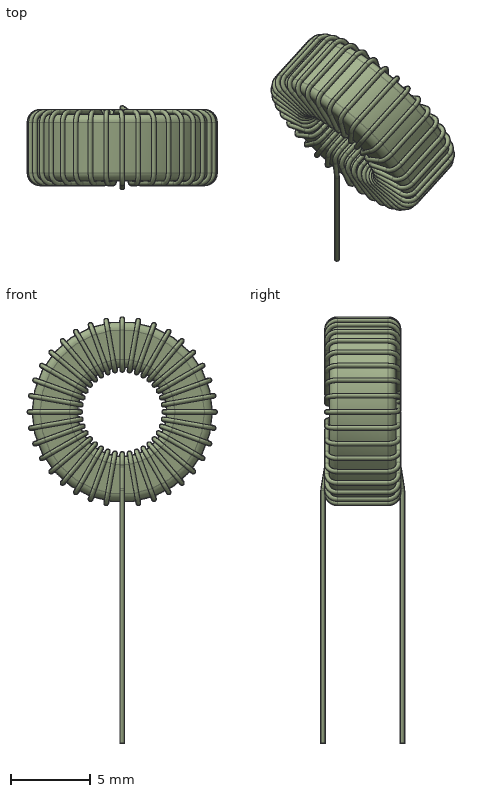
import cadquery as cq
import math


core_outer_diameter = 11.4
core_hole_diameter = 5.63
core_width = 4.2
core_edge_radius = 0.5

wire_diameter = 0.3
wire_clearance = 0.013
turn_count = 36
first_turn_angle = 270

lead_tip_z = -20.92
lead_knee_z = -4.9
lead_spacing = 5.0
shoulder_distance = 0.78

wire_offset = wire_diameter / 2 + wire_clearance
outer_path_radius = core_outer_diameter / 2 + wire_offset
inner_path_radius = core_hole_diameter / 2 - wire_offset
path_half_width = core_width / 2 + wire_offset
bend_radius = core_edge_radius + wire_offset
turn_pitch = 360 / turn_count


def make_core():
    """Ring with a through hole and all four circular edges rounded."""
    ring = (
        cq.Workplane("XZ")
        .circle(core_outer_diameter / 2)
        .circle(core_hole_diameter / 2)
        .extrude(core_width)
        .translate((0, core_width / 2, 0))
    )
    return ring.edges("%CIRCLE").fillet(core_edge_radius)


def ring_point(radius, angle, y):
    """Point at a polar position around the Y axis."""
    angle_radians = math.radians(angle)
    return cq.Vector(radius * math.cos(angle_radians), y, radius * math.sin(angle_radians))


def wire_corners():
    """Corners of the wire before they are rounded, from the front lead tip to the back lead tip."""
    front_y = -path_half_width
    back_y = path_half_width

    turns = []
    for turn in range(turn_count):
        angle = first_turn_angle - turn * turn_pitch
        next_angle = angle - turn_pitch
        turns.append(ring_point(inner_path_radius, angle, front_y))
        turns.append(ring_point(inner_path_radius, angle, back_y))
        turns.append(ring_point(outer_path_radius, next_angle, back_y))
        turns.append(ring_point(outer_path_radius, next_angle, front_y))

    *turns, last_inner, last_outer, first_outer = turns
    turns.append(last_inner)
    front_shoulder = lead_shoulder(turns[0], first_outer)
    back_shoulder = lead_shoulder(last_inner, last_outer)
    front_lead = [
        cq.Vector(0, -lead_spacing / 2, lead_tip_z),
        cq.Vector(0, -lead_spacing / 2, lead_knee_z),
        front_shoulder,
    ]
    back_lead = [
        back_shoulder,
        cq.Vector(0, lead_spacing / 2, lead_knee_z),
        cq.Vector(0, lead_spacing / 2, lead_tip_z),
    ]
    return front_lead + turns + back_lead


def lead_shoulder(inner_corner, outer_corner):
    """Point on a face where the wire starts to slope away from the core."""
    return inner_corner + (outer_corner - inner_corner).normalized() * shoulder_distance


def bend_points(previous, corner, following):
    """Start, middle and end of the tangent arc that rounds a corner."""
    to_previous = (previous - corner).normalized()
    to_following = (following - corner).normalized()
    half_turn = (math.pi - to_previous.getAngle(to_following)) / 2
    setback = bend_radius * math.tan(half_turn)
    corner_to_arc = bend_radius / math.cos(half_turn) - bend_radius
    start = corner + to_previous * setback
    middle = corner + (to_previous + to_following).normalized() * corner_to_arc
    end = corner + to_following * setback
    return start, middle, end


def make_winding():
    """One wire swept along the front lead, all turns and the back lead."""
    corners = wire_corners()
    path = []
    position = corners[0]
    for previous, corner, following in zip(corners, corners[1:], corners[2:]):
        start, middle, end = bend_points(previous, corner, following)
        path.append(cq.Edge.makeLine(position, start))
        path.append(cq.Edge.makeThreePointArc(start, middle, end))
        position = end
    path.append(cq.Edge.makeLine(position, corners[-1]))

    profile = cq.Workplane("XY", origin=corners[0].toTuple()).circle(wire_diameter / 2)
    return profile.sweep(cq.Wire.assembleEdges(path), transition="transformed")


core = make_core()
winding = make_winding()

result = cq.Compound.makeCompound([core.solids().val(), winding.val()])